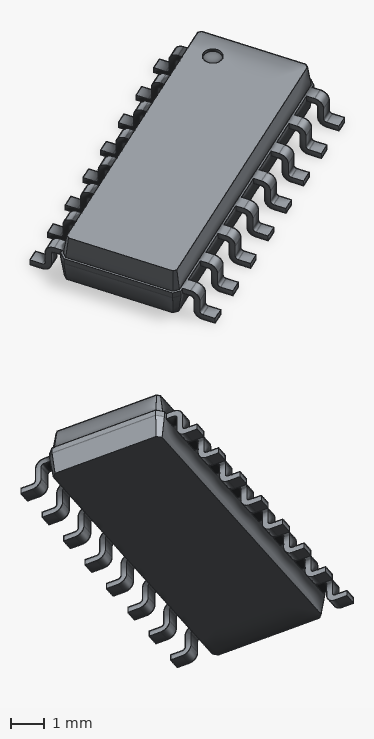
import cadquery as cq
import math

body_width = 3.9
body_length = 9.9
overall_height = 1.75
standoff = 0.1
corner_chamfer = 0.19
draft_angle = 8.0
upper_ledge = 0.07

lead_span = 6.0
lead_thickness = 0.2
lead_width = 0.41
lead_top = 1.02
shank_outer_x = 2.5
inner_bend_radius = 0.1
leads_per_side = 8
lead_row_length = 8.89

dimple_diameter = 0.6
dimple_depth = 0.1
dimple_x = -0.96
dimple_y = 3.96

band_top = lead_top
band_bottom = lead_top - lead_thickness

lead_pitch = lead_row_length / (leads_per_side - 1)
outer_bend_radius = inner_bend_radius + lead_thickness
shank_inner_x = shank_outer_x - lead_thickness
lead_root_x = body_width / 4


def chamfered_rectangle(z, inset=0.0):
    """Body outline at height z, offset inward by inset with the corner faces kept parallel."""
    half_x = body_width / 2 - inset
    half_y = body_length / 2 - inset
    corner = corner_chamfer - (2 - math.sqrt(2)) * inset
    points = [
        (half_x, half_y - corner),
        (half_x - corner, half_y),
        (corner - half_x, half_y),
        (-half_x, half_y - corner),
        (-half_x, corner - half_y),
        (corner - half_x, -half_y),
        (half_x - corner, -half_y),
        (half_x, corner - half_y),
    ]
    return cq.Workplane("XY").workplane(offset=z).polyline(points).close()


def make_body():
    band = chamfered_rectangle(band_bottom).extrude(band_top - band_bottom)
    upper = chamfered_rectangle(band_top, upper_ledge).extrude(overall_height - band_top, taper=draft_angle)
    lower = chamfered_rectangle(band_bottom).extrude(standoff - band_bottom, taper=draft_angle)
    return band.union(upper).union(lower)


def make_lead():
    """One lead on the +X side, centred on Y = 0, with its root buried in the body."""
    bend = math.sqrt(0.5)
    shoulder_x = shank_outer_x - outer_bend_radius
    shoulder_z = lead_top - outer_bend_radius
    foot_x = shank_inner_x + outer_bend_radius
    foot_z = outer_bend_radius
    outer_mid = outer_bend_radius * bend
    inner_mid = inner_bend_radius * bend

    return (
        cq.Workplane("XZ")
        .moveTo(lead_root_x, lead_top)
        .lineTo(shoulder_x, lead_top)
        .threePointArc((shoulder_x + outer_mid, shoulder_z + outer_mid), (shank_outer_x, shoulder_z))
        .lineTo(shank_outer_x, foot_z)
        .threePointArc((foot_x - inner_mid, foot_z - inner_mid), (foot_x, lead_thickness))
        .lineTo(lead_span / 2, lead_thickness)
        .lineTo(lead_span / 2, 0)
        .lineTo(foot_x, 0)
        .threePointArc((foot_x - outer_mid, foot_z - outer_mid), (shank_inner_x, foot_z))
        .lineTo(shank_inner_x, shoulder_z)
        .threePointArc(
            (shoulder_x + inner_mid, shoulder_z + inner_mid),
            (shoulder_x, lead_top - lead_thickness),
        )
        .lineTo(lead_root_x, lead_top - lead_thickness)
        .close()
        .extrude(lead_width / 2, both=True)
    )


def make_dimple():
    return (
        cq.Workplane("XY")
        .workplane(offset=overall_height - dimple_depth)
        .center(dimple_x, dimple_y)
        .circle(dimple_diameter / 2)
        .extrude(dimple_depth)
    )


result = make_body().cut(make_dimple())

right_lead = make_lead()
left_lead = right_lead.mirror("YZ")
for index in range(leads_per_side):
    lead_y = index * lead_pitch - lead_row_length / 2
    result = result.union(right_lead.translate((0, lead_y, 0)))
    result = result.union(left_lead.translate((0, lead_y, 0)))